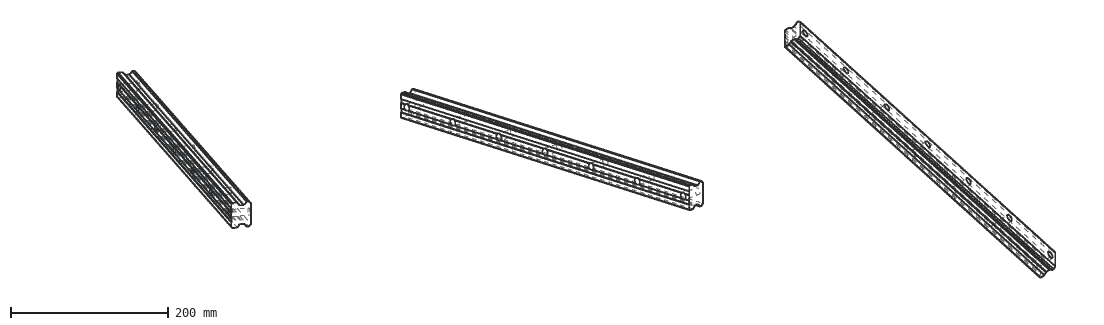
import cadquery as cq

length = 500.0
height = 26.0
width = 34.0
half_height = height / 2
half_width = width / 2

head_chamfer = 3.0
head_land = 3.0
foot_chamfer = 1.5

groove_depth = 4.1
raceway_span = 3.0
raceway_drop = 3.4
raceway_radius = 5.0
runout_span = 1.1
floor_width = 5.1
riser_span = 0.3
riser_height = 0.9
flank_size = 2.9
foot_edge_span = 1.0

channel_depth = 0.5
channel_outer_edge = 9.25
channel_inner_edge = 3.5
channel_wall_span = 0.5

hole_diameter = 9.0
hole_count = 7
hole_pitch = 80.0


def make_bar():
    """Bar of the full section size with chamfered head and foot corners."""
    bar = cq.Workplane("XY").box(length, height, width)
    bar = bar.faces(">Y").edges("|X").chamfer(head_chamfer)
    return bar.faces("<Y").edges("|X").chamfer(foot_chamfer)


def make_groove():
    """Cutter for the raceway groove on the +Z flank of the rail."""
    floor = half_width - groove_depth
    head_edge = half_height - head_chamfer - head_land
    raceway_end = head_edge - raceway_span
    floor_start = raceway_end - runout_span
    floor_end = floor_start - floor_width
    riser_end = floor_end - riser_span
    riser_top = floor + riser_height
    flank_end = riser_end - flank_size
    foot_edge = flank_end - foot_edge_span
    return (
        cq.Workplane("YZ", origin=(-length / 2, 0, 0))
        .moveTo(head_edge, half_width)
        .radiusArc((raceway_end, half_width - raceway_drop), raceway_radius)
        .lineTo(floor_start, floor)
        .lineTo(floor_end, floor)
        .lineTo(riser_end, riser_top)
        .lineTo(flank_end, riser_top + flank_size)
        .lineTo(foot_edge, half_width)
        .close()
        .extrude(length)
    )


def make_channel():
    """Cutter for the shallow underside channel on the +Z side of the holes."""
    underside = -half_height
    channel_floor = underside + channel_depth
    outline = [
        (underside, channel_inner_edge),
        (channel_floor, channel_inner_edge + channel_wall_span),
        (channel_floor, channel_outer_edge - channel_wall_span),
        (underside, channel_outer_edge),
    ]
    return cq.Workplane("YZ", origin=(-length / 2, 0, 0)).polyline(outline).close().extrude(length)


def make_holes():
    """Row of through holes along Y."""
    holes = cq.Workplane("XZ").rarray(hole_pitch, 1, hole_count, 1)
    return holes.circle(hole_diameter / 2).extrude(half_height, both=True)


result = make_bar()
for cutter in (make_groove(), make_channel()):
    result = result.cut(cutter).cut(cutter.mirror("XY"))
result = result.cut(make_holes())